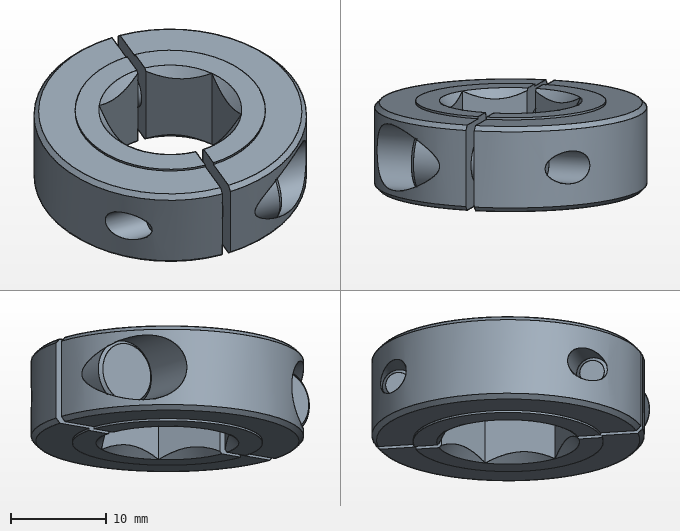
import cadquery as cq
import math

COLLAR_DIAMETER = 28.57
RIM_HEIGHT = 9.09
BOSS_HEIGHT = 9.55
BOSS_DIAMETER = 19.95
RIM_CHAMFER = 0.49
SPLIT_GAP = 0.9

HEX_ACROSS_FLATS = 12.97
HEX_ACROSS_CORNERS = HEX_ACROSS_FLATS / math.cos(math.radians(30))
BORE_CHAMFER_ANGLE = 45.0

SCREW_OFFSET = 10.37
SHANK_DIAMETER = 4.17
HEAD_DIAMETER = 6.97
HEAD_HEIGHT = SHANK_DIAMETER
HEAD_CHAMFER = 0.35
HEAD_TOP_Y = 6.69
TIP_DIAMETER = 3.49
TIP_CHAMFER = 0.43
TIP_END_Y = -7.03

HEAD_SEAT_Y = HEAD_TOP_Y - HEAD_HEIGHT
FACE_Y = SPLIT_GAP / 2
REACH = COLLAR_DIAMETER


def cylinder_along_y(diameter, start_y, end_y, x):
    """Cylinder parallel to Y, centred on X = x, Z = 0."""
    return cq.Workplane(
        cq.Solid.makeCylinder(diameter / 2, end_y - start_y, cq.Vector(x, start_y, 0), cq.Vector(0, 1, 0))
    )


def bore_lead_in():
    """Cone that starts at the hexagon corners on the top face and narrows downwards."""
    radius = HEX_ACROSS_CORNERS / 2
    depth = radius * math.tan(math.radians(BORE_CHAMFER_ANGLE))
    return cq.Workplane(
        cq.Solid.makeCone(radius, 0, depth, cq.Vector(0, 0, BOSS_HEIGHT / 2), cq.Vector(0, 0, -1))
    )


def ring():
    """Complete collar before it is split: rim, raised rings and hexagonal bore."""
    rim = (
        cq.Workplane("XY")
        .circle(COLLAR_DIAMETER / 2)
        .extrude(RIM_HEIGHT / 2, both=True)
        .faces("|Z")
        .chamfer(RIM_CHAMFER)
    )
    boss = cq.Workplane("XY").circle(BOSS_DIAMETER / 2).extrude(BOSS_HEIGHT / 2, both=True)
    hexagon = cq.Workplane("XY").polygon(6, HEX_ACROSS_CORNERS).extrude(BOSS_HEIGHT / 2, both=True)
    top_lead_in = bore_lead_in()
    bottom_lead_in = top_lead_in.mirror("XY")
    return rim.union(boss).cut(hexagon).cut(top_lead_in).cut(bottom_lead_in)


def half_ring(side):
    """Half of the collar on the +Y (side = 1) or -Y (side = -1) side of the gap."""
    half_space = cq.Workplane("XY").box(REACH, REACH, REACH).translate((0, side * (FACE_Y + REACH / 2), 0))
    return ring().intersect(half_space)


def head_half():
    """Half with a clearance hole and an open head recess for each screw."""
    body = half_ring(1)
    for x in (-SCREW_OFFSET, SCREW_OFFSET):
        body = body.cut(cylinder_along_y(SHANK_DIAMETER, 0, HEAD_SEAT_Y, x))
        body = body.cut(cylinder_along_y(HEAD_DIAMETER, HEAD_SEAT_Y, REACH, x))
    return body


def tip_half():
    """Half with a through hole for each screw tip."""
    body = half_ring(-1)
    for x in (-SCREW_OFFSET, SCREW_OFFSET):
        body = body.cut(cylinder_along_y(TIP_DIAMETER, -REACH, 0, x))
    return body


def screw(x):
    """Cap screw with a chamfered head, a shank and a thinner chamfered tip."""
    head = cylinder_along_y(HEAD_DIAMETER, HEAD_SEAT_Y, HEAD_TOP_Y, x).faces(">Y").chamfer(HEAD_CHAMFER)
    shank = cylinder_along_y(SHANK_DIAMETER, -FACE_Y, HEAD_SEAT_Y, x)
    tip = cylinder_along_y(TIP_DIAMETER, TIP_END_Y, -FACE_Y, x).faces("<Y").chamfer(TIP_CHAMFER)
    return head.union(shank).union(tip)


screws = [screw(x) for x in (-SCREW_OFFSET, SCREW_OFFSET)]

result = cq.Compound.makeCompound([
    head_half().val(),
    tip_half().val(),
    *[body.val() for body in screws],
])